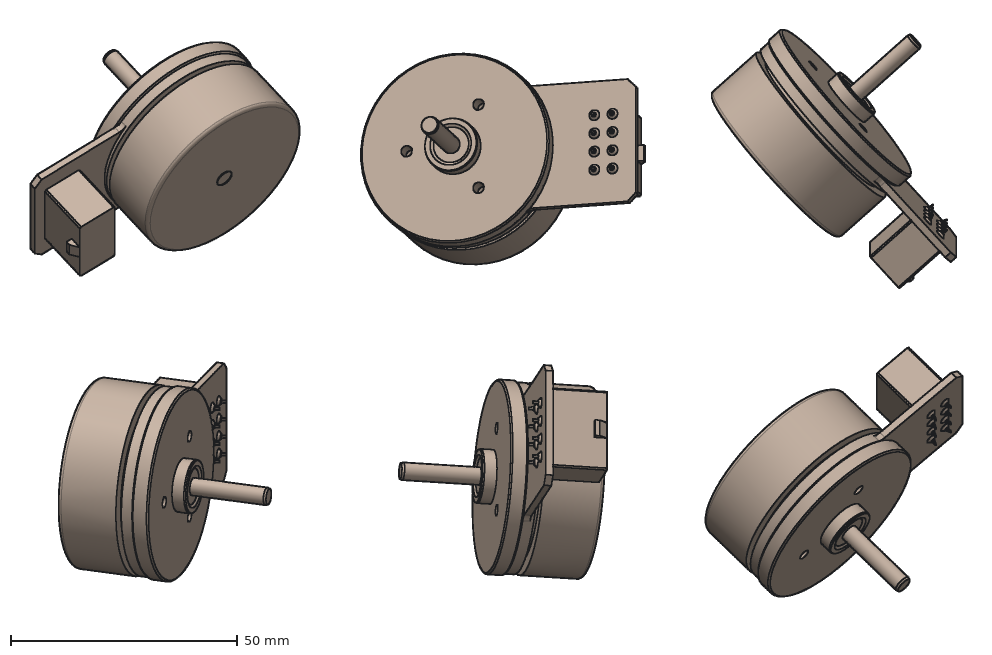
import cadquery as cq
import math


overall_length = 62.1

shaft_radius = 2.0
shaft_front = -20.55
shaft_back = 21.55
shaft_chamfer_length = 0.55
shaft_chamfer_depth = 0.2
boss_radius = 6.0
boss_length = 3.15
boss_chamfer_length = 0.4
boss_chamfer_depth = 0.1
recess_mouth_radius = 4.7
recess_floor_radius = 4.05
recess_depth = 0.45
flange_radius = 21.6
flange_thickness = 3.9
flange_chamfer = 0.4
neck_radius = 18.25
body_radius = 21.35
body_front = 7.65
body_back = 21.35
body_edge_fillet = 0.8

hole_count = 3
hole_radius = 1.25
hole_circle_radius = 11.0
hole_depth = 4.05
hole_point_length = 0.75

disc_radius = 21.25
board_front = flange_thickness
board_thickness = 1.7
board_back = board_front + board_thickness
backing_thickness = 0.8
tab_half_width = 14.0
tab_end = overall_length - flange_radius
tab_chamfer = 1.85
tab_fillet = 2.5

connector_width = 18.25
connector_near = 28.0
connector_far = 37.7
connector_length = 12.8
connector_chamfer = 0.4
connector_back = board_back + connector_length
latch_width = 3.6
latch_length = 3.0
latch_ramp_length = 2.0
latch_height = 1.4

pin_pitch = 4.15
pin_columns = 4
pin_row_near = 31.0
pin_width = 0.55
pin_length = 1.8
pin_tip_width = 0.1
pin_straight_length = 0.8
solder_radius = 1.2
solder_top_radius = 0.55
solder_height = 0.6


def disc(start, end, radius):
    """Solid cylinder about the X axis."""
    return cq.Workplane("YZ", origin=(start, 0, 0)).circle(radius).extrude(end - start)


def cone(x, y, z, start_radius, end_radius, length):
    """Truncated cone pointing along +X."""
    return cq.Workplane(
        cq.Solid.makeCone(start_radius, end_radius, length, cq.Vector(x, y, z), cq.Vector(1, 0, 0))
    )


def turned(*profile):
    """Solid of revolution about the X axis, from (station, radius) points of its outer profile."""
    axis_start = (profile[0][0], 0)
    axis_end = (profile[-1][0], 0)
    outline = [(x, -radius) for x, radius in profile]
    return (
        cq.Workplane("XY")
        .polyline([axis_start, *outline, axis_end])
        .close()
        .revolve(360, (0, 0, 0), (1, 0, 0))
    )


def make_motor():
    """Housing turned in one profile, then the recess and the shaft through it."""
    housing = turned(
        (-boss_length, boss_radius - boss_chamfer_depth),
        (-boss_length + boss_chamfer_length, boss_radius),
        (0, boss_radius),
        (0, flange_radius - flange_chamfer),
        (flange_chamfer, flange_radius),
        (flange_thickness - flange_chamfer, flange_radius),
        (flange_thickness, flange_radius - flange_chamfer),
        (flange_thickness, neck_radius),
        (body_front, neck_radius),
        (body_front, body_radius),
        (body_back, body_radius),
    )
    housing = housing.faces(">X").edges().fillet(body_edge_fillet)
    recess = turned(
        (-boss_length, recess_mouth_radius),
        (-boss_length + recess_depth, recess_floor_radius),
    )
    shaft = turned(
        (shaft_front, shaft_radius - shaft_chamfer_depth),
        (shaft_front + shaft_chamfer_length, shaft_radius),
        (shaft_back, shaft_radius),
    )
    return housing.cut(recess).union(shaft)


def make_mounting_holes():
    holes = cq.Workplane()
    for i in range(hole_count):
        angle = 2 * math.pi * i / hole_count
        y = hole_circle_radius * math.cos(angle)
        z = hole_circle_radius * math.sin(angle)
        drill = disc(0, hole_depth, hole_radius).translate((0, y, z))
        point = cone(hole_depth, y, z, hole_radius, 0, hole_point_length)
        holes = holes.add(drill.union(point))
    return holes.combine()


def make_board():
    """Disc and tab in one plate, blended by fillets, plus the plain backing disc."""
    tab = (
        cq.Workplane("XY")
        .box(board_thickness, tab_end, 2 * tab_half_width, centered=(False, False, True))
        .translate((board_front, -tab_end, 0))
        .faces("<Y")
        .edges("|X")
        .chamfer(tab_chamfer)
    )
    plate = disc(board_front, board_back, disc_radius).union(tab)
    joint_y = math.sqrt(disc_radius**2 - tab_half_width**2)
    for side in (-1, 1):
        joint = cq.selectors.NearestToPointSelector(
            (board_front + board_thickness / 2, -joint_y, side * tab_half_width)
        )
        plate = plate.edges("|X").edges(joint).fillet(tab_fillet)
    return plate.union(disc(board_back, board_back + backing_thickness, disc_radius))


def make_connector():
    housing = (
        cq.Workplane("XY")
        .box(
            connector_length,
            connector_far - connector_near,
            connector_width,
            centered=(False, False, True),
        )
        .translate((board_back, -connector_far, 0))
        .edges("|X")
        .chamfer(connector_chamfer)
    )
    latch_front = connector_back - latch_length
    latch_top = -connector_far - latch_height
    latch = (
        cq.Workplane("XY")
        .moveTo(latch_front, -connector_far)
        .lineTo(latch_front, latch_top)
        .lineTo(connector_back - latch_ramp_length, latch_top)
        .lineTo(connector_back, -connector_far)
        .close()
        .extrude(latch_width / 2, both=True)
    )
    return housing.union(latch)


def make_pin(row_y, z, taper_side):
    """Solder cone with a pin tip that tapers on one side (+1 or -1 along Y)."""
    solder = cone(
        board_front - solder_height, row_y, z, solder_top_radius, solder_radius, solder_height
    )
    flat_y = row_y - taper_side * pin_width / 2
    sloped_y = row_y + taper_side * pin_width / 2
    tip_x = board_front - pin_length
    pin = (
        cq.Workplane("XY", origin=(0, 0, z))
        .moveTo(board_front, flat_y)
        .lineTo(tip_x, flat_y)
        .lineTo(tip_x, flat_y + taper_side * pin_tip_width)
        .lineTo(board_front - pin_straight_length, sloped_y)
        .lineTo(board_front, sloped_y)
        .close()
        .extrude(pin_width / 2, both=True)
    )
    return solder.union(pin)


result = make_motor().union(make_board()).union(make_connector()).cut(make_mounting_holes())
pin_rows = ((-pin_row_near, -1), (-pin_row_near - pin_pitch, 1))
for row_y, taper_side in pin_rows:
    for column in range(pin_columns):
        pin_z = (column - (pin_columns - 1) / 2) * pin_pitch
        result = result.union(make_pin(row_y, pin_z, taper_side))